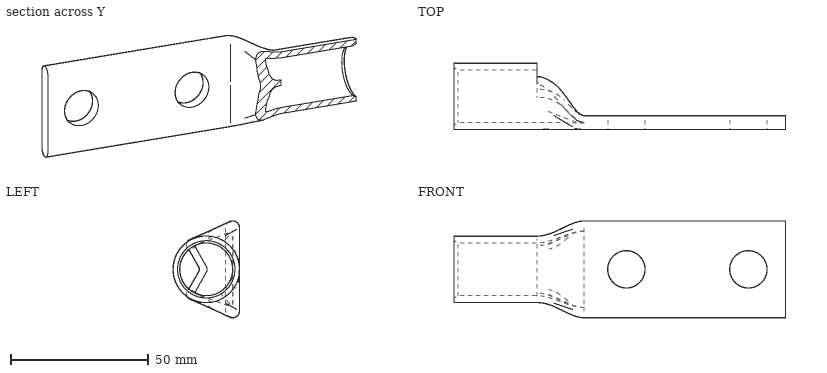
import cadquery as cq
import math


total_length = 120.6
barrel_length = 30.3
barrel_diameter = 24.3
wall = 2.5
mouth_chamfer_width = 0.8
mouth_chamfer_depth = 1.5

tongue_start = 47.3
tongue_width = 35.4

hole_diameter = 13.5
hole_spacing = 44.4
hole_end_distance = 13.5

rim_shoulder = 4.8
lip_crest = (7.2, 8.9)
dent_top = (6.3, 7.0)
dent_apex = 2.3
cavity_dent_top = 4.2
cavity_dent_apex = -0.6
dent_round = 0.8

neck_sections = 7
dent_lag = 1.5
seam_width = 27.7
seam_gap = 0.1

barrel_radius = barrel_diameter / 2
bore_radius = barrel_radius - wall
tongue_thickness = 2 * wall
tongue_front = -barrel_radius
tongue_middle = tongue_front + wall
tongue_back = tongue_front + tongue_thickness
tongue_half_width = tongue_width / 2
tongue_flat_half_width = tongue_half_width - wall
neck_length = tongue_start - barrel_length


def smooth_step(t):
    """Ease from 0 to 1 with level ends."""
    return t * t * (3 - 2 * t)


def between(start, end, weight):
    """Value between two numbers."""
    return start + (end - start) * weight


def blend(start, end, weight):
    """Point between two (Y, Z) points."""
    return tuple(between(a, b, weight) for a, b in zip(start, end))


def on_circle(radius, y):
    """Point of a circle about the barrel axis at the given Y, on the +Z side."""
    return (y, math.sqrt(radius**2 - y**2))


def mirrored(point):
    return (point[0], -point[1])


def section_plane(x):
    """Plane across the barrel axis with local axes along Y and Z."""
    return cq.Plane(origin=(x, 0, 0), xDir=(0, 1, 0), normal=(1, 0, 0))


def tongue():
    length = total_length - tongue_start
    blank = (
        cq.Workplane(section_plane(tongue_start))
        .center(tongue_middle, 0)
        .slot2D(tongue_width, tongue_thickness, 90)
        .extrude(length)
    )
    far_hole = total_length - hole_end_distance
    holes = (
        cq.Workplane("XZ", origin=(0, tongue_back, 0))
        .pushPoints([(far_hole - hole_spacing, 0), (far_hole, 0)])
        .circle(hole_diameter / 2)
        .extrude(tongue_thickness)
    )
    return blank.cut(holes)


def barrel():
    tube = (
        cq.Workplane(section_plane(0))
        .circle(barrel_radius)
        .circle(bore_radius)
        .extrude(barrel_length)
    )
    mouth = cq.Solid.makeCone(
        bore_radius + mouth_chamfer_width,
        bore_radius,
        mouth_chamfer_depth,
        dir=cq.Vector(1, 0, 0),
    )
    return tube.cut(cq.Workplane(mouth))


def neck_wire(t, side_start, floor_y, arcs, apex):
    """Closed outline of the neck at fraction t of its length.

    The bowed floor passes through floor_y and ends at side_start. The arcs, as (middle, end) pairs,
    lead on to the dent, whose straight sides aim at apex and are joined by a tangent round.
    """
    dent_edge = arcs[-1][1]
    slope = math.atan2(dent_edge[0] - apex, dent_edge[1])
    round_end = (apex + dent_round * math.tan(slope), dent_round)
    round_bottom = (round_end[0] - dent_round * math.tan(slope / 2), 0)
    at_tongue = t == 1

    outline = cq.Workplane(section_plane(barrel_length + t * neck_length)).moveTo(*mirrored(side_start))
    if at_tongue:
        outline = outline.lineTo(*side_start)
    else:
        outline = outline.threePointArc((floor_y, 0), side_start)
    for middle, end in arcs:
        outline = outline.threePointArc(middle, end)
    outline = outline.lineTo(*round_end)
    if at_tongue:
        outline = outline.lineTo(*mirrored(round_end))
    else:
        outline = outline.threePointArc(round_bottom, mirrored(round_end))
    outline = outline.lineTo(*mirrored(dent_edge))
    arc_starts = [side_start] + [end for _, end in arcs[:-1]]
    for (middle, _), start in zip(reversed(arcs), reversed(arc_starts)):
        outline = outline.threePointArc(mirrored(middle), mirrored(start))
    return outline.wire().val()


def neck_outer_wire(t):
    """Outside of the neck, from the barrel's circle to the round-edged tongue."""
    spread = smooth_step(t)
    sink = smooth_step(t**dent_lag)
    diagonal_reach = wall * math.sqrt(0.5)
    front_bulge = (tongue_middle - diagonal_reach, tongue_flat_half_width + diagonal_reach)
    back_bulge = (tongue_middle + diagonal_reach, tongue_flat_half_width + diagonal_reach)

    flat_edge = (tongue_front, tongue_flat_half_width)
    side_start = blend(on_circle(barrel_radius, -rim_shoulder), flat_edge, spread)
    side_middle = blend((0, barrel_radius), front_bulge, spread)
    side_end = blend(on_circle(barrel_radius, rim_shoulder), (tongue_middle, tongue_half_width), spread)
    crest = blend(lip_crest, back_bulge, (spread + sink) / 2)
    dent_edge = blend(dent_top, (tongue_back, tongue_flat_half_width), sink)
    apex = between(dent_apex, tongue_back, sink)
    return neck_wire(t, side_start, tongue_front, [(side_middle, side_end), (crest, dent_edge)], apex)


def neck_cavity_wire(t):
    """Inside of the neck, from the bore to a thin closed seam at the tongue."""
    spread = smooth_step(t)
    sink = smooth_step(t**dent_lag)
    seam_front = tongue_middle - seam_gap / 2
    seam_back = tongue_middle + seam_gap / 2
    seam_edge = seam_width / 2

    floor_y = between(-bore_radius, seam_front, spread)
    side_start = blend(on_circle(bore_radius, -rim_shoulder), (seam_front, seam_edge), spread)
    side_middle = blend((0, bore_radius), (tongue_middle, seam_edge + seam_gap / 2), spread)
    dent_edge = blend(on_circle(bore_radius, cavity_dent_top), (seam_back, seam_edge), spread)
    apex = between(cavity_dent_apex, seam_back, sink)
    return neck_wire(t, side_start, floor_y, [(side_middle, dent_edge)], apex)


def neck():
    fractions = [i / (neck_sections - 1) for i in range(neck_sections)]
    outer = cq.Solid.makeLoft([neck_outer_wire(t) for t in fractions])
    cavity = cq.Solid.makeLoft([neck_cavity_wire(t) for t in fractions])
    return cq.Workplane(outer).cut(cq.Workplane(cavity))


result = barrel().union(neck()).union(tongue())